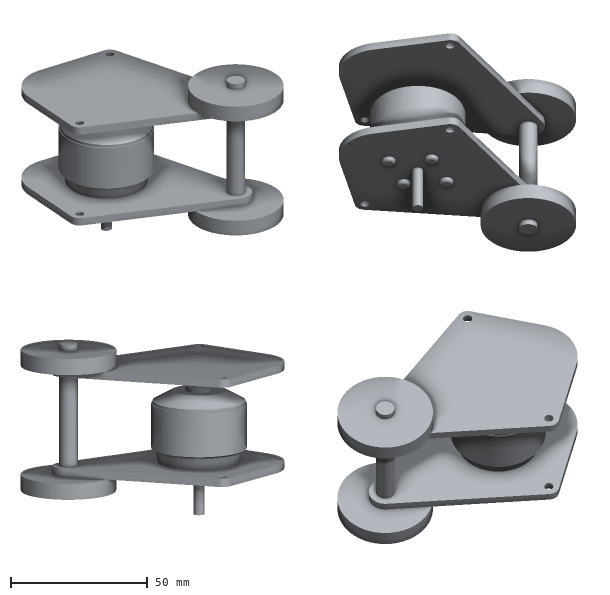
import cadquery as cq
import math


SHAFT_AXIS = (33.8, 34.4)
SHAFT_DIAMETER = 6.8
SHAFT_LOWER_END = 2.0
SHAFT_UPPER_END = 2.2
WHEEL_DIAMETER = 35.0
WHEEL_THICKNESS = 6.0
WHEEL_BORE_DIAMETER = 7.0
WHEEL_GAP = 0.2

OVERALL_DEPTH = 78.95
FRONT_EDGE_Y = SHAFT_AXIS[1] + WHEEL_DIAMETER / 2 - OVERALL_DEPTH
PLATE_THICKNESS = 3.0
PLATE_SPACING = 34.1
CORNER_RADIUS = 3.8
FRONT_RADIUS = 15.95
SHAFT_CORNER_RADIUS = 6.0
CORNER_HOLE_DIAMETER = 3.3
LEFT_HOLE = (-23.5, 17.05)
RIGHT_HOLE = (17.45, FRONT_EDGE_Y + CORNER_RADIUS)
FRONT_CORNER = (-10.7, FRONT_EDGE_Y + FRONT_RADIUS)

MOTOR_DIAMETER = 35.0
MOTOR_FOOT_DIAMETER = 30.2
MOTOR_WAIST_DIAMETER = 31.9
MOTOR_WAIST_Z = 4.4
MOTOR_CHAMFER_DIAMETER = 32.5
MOTOR_CAN_BOTTOM_Z = 5.2
MOTOR_CAN_TOP_Z = 21.9
MOTOR_RIM_DIAMETER = 34.0
MOTOR_RIM_TOP_Z = 22.9
MOTOR_CONE_TOP_DIAMETER = 20.2
MOTOR_CONE_TOP_Z = 26.7
MOTOR_BOSS_DIAMETER = 10.0
MOTOR_BOSS_TOP_Z = 28.4
MOTOR_TIP_DIAMETER = 5.85
MOTOR_TIP_TOP_Z = 28.75
MOTOR_SHAFT_DIAMETER = 4.0
MOTOR_SHAFT_BOTTOM_Z = -19.7

SCREW_HEAD_DIAMETER = 5.0
SCREW_HEAD_HEIGHT = 1.65
SCREW_HEAD_ROUNDING = 1.2
WIDE_SCREW_OFFSET = 8.85
NARROW_SCREW_OFFSET = 6.7

LOWER_PLATE_Z = -PLATE_THICKNESS
UPPER_PLATE_Z = PLATE_SPACING
LOWER_WHEEL_Z = LOWER_PLATE_Z - WHEEL_GAP - WHEEL_THICKNESS
UPPER_WHEEL_Z = UPPER_PLATE_Z + PLATE_THICKNESS + WHEEL_GAP
SHAFT_BOTTOM_Z = LOWER_WHEEL_Z - SHAFT_LOWER_END
SHAFT_TOP_Z = UPPER_WHEEL_Z + WHEEL_THICKNESS + SHAFT_UPPER_END


def point_on_circle(center, radius, angle):
    return (center[0] + radius * math.cos(angle), center[1] + radius * math.sin(angle))


def outer_tangent_angle(first, second):
    """Direction of the outward normal of the line touching two corner circles, met counter-clockwise."""
    (x1, y1), r1 = first
    (x2, y2), r2 = second
    heading = math.atan2(y2 - y1, x2 - x1)
    return heading - math.acos((r1 - r2) / math.hypot(x2 - x1, y2 - y1))


def plate_outline(corners):
    """Closed outline around corner circles listed counter-clockwise: arcs joined by tangent lines."""
    count = len(corners)
    normals = [outer_tangent_angle(corners[i], corners[(i + 1) % count]) for i in range(count)]
    outline = cq.Workplane("XY")
    for i, (center, radius) in enumerate(corners):
        arc_start = normals[i - 1]
        arc_sweep = (normals[i] - arc_start) % (2 * math.pi)
        start_point = point_on_circle(center, radius, arc_start)
        middle_point = point_on_circle(center, radius, arc_start + arc_sweep / 2)
        end_point = point_on_circle(center, radius, arc_start + arc_sweep)
        outline = outline.moveTo(*start_point) if i == 0 else outline.lineTo(*start_point)
        outline = outline.threePointArc(middle_point, end_point)
    return outline.close()


def make_plate(bottom_z):
    corners = [
        (FRONT_CORNER, FRONT_RADIUS),
        (RIGHT_HOLE, CORNER_RADIUS),
        (SHAFT_AXIS, SHAFT_CORNER_RADIUS),
        (LEFT_HOLE, CORNER_RADIUS),
    ]
    plate = plate_outline(corners).extrude(PLATE_THICKNESS)
    corner_holes = (
        cq.Workplane("XY")
        .pushPoints([LEFT_HOLE, RIGHT_HOLE])
        .circle(CORNER_HOLE_DIAMETER / 2)
        .extrude(PLATE_THICKNESS)
    )
    shaft_bore = cq.Workplane("XY").center(*SHAFT_AXIS).circle(SHAFT_DIAMETER / 2).extrude(PLATE_THICKNESS)
    return plate.cut(corner_holes).cut(shaft_bore).translate((0, 0, bottom_z))


def make_lower_plate():
    motor_shaft_hole = (
        cq.Workplane("XY")
        .workplane(offset=LOWER_PLATE_Z)
        .circle(MOTOR_SHAFT_DIAMETER / 2)
        .extrude(PLATE_THICKNESS)
    )
    return make_plate(LOWER_PLATE_Z).cut(motor_shaft_hole)


def make_wheel(bottom_z):
    return (
        cq.Workplane("XY")
        .workplane(offset=bottom_z)
        .center(*SHAFT_AXIS)
        .circle(WHEEL_DIAMETER / 2)
        .circle(WHEEL_BORE_DIAMETER / 2)
        .extrude(WHEEL_THICKNESS)
    )


def make_shaft():
    return (
        cq.Workplane("XY")
        .workplane(offset=SHAFT_BOTTOM_Z)
        .center(*SHAFT_AXIS)
        .circle(SHAFT_DIAMETER / 2)
        .extrude(SHAFT_TOP_Z - SHAFT_BOTTOM_Z)
    )


def make_motor():
    """Motor can, foot, end boss and output shaft, turned about the Z axis."""
    half_profile = [
        (0, MOTOR_SHAFT_BOTTOM_Z),
        (MOTOR_SHAFT_DIAMETER / 2, MOTOR_SHAFT_BOTTOM_Z),
        (MOTOR_SHAFT_DIAMETER / 2, 0),
        (MOTOR_FOOT_DIAMETER / 2, 0),
        (MOTOR_WAIST_DIAMETER / 2, MOTOR_WAIST_Z),
        (MOTOR_CHAMFER_DIAMETER / 2, MOTOR_WAIST_Z),
        (MOTOR_DIAMETER / 2, MOTOR_CAN_BOTTOM_Z),
        (MOTOR_DIAMETER / 2, MOTOR_CAN_TOP_Z),
        (MOTOR_RIM_DIAMETER / 2, MOTOR_CAN_TOP_Z),
        (MOTOR_RIM_DIAMETER / 2, MOTOR_RIM_TOP_Z),
        (MOTOR_CONE_TOP_DIAMETER / 2, MOTOR_CONE_TOP_Z),
        (MOTOR_BOSS_DIAMETER / 2, MOTOR_CONE_TOP_Z),
        (MOTOR_BOSS_DIAMETER / 2, MOTOR_BOSS_TOP_Z),
        (MOTOR_TIP_DIAMETER / 2, MOTOR_BOSS_TOP_Z),
        (MOTOR_TIP_DIAMETER / 2, MOTOR_TIP_TOP_Z),
        (0, MOTOR_TIP_TOP_Z),
    ]
    return cq.Workplane("XZ").polyline(half_profile).close().revolve(360, (0, 0, 0), (0, 1, 0))


def make_screw_head(x, y):
    """Round-edged head resting against the underside of the lower plate."""
    return (
        cq.Workplane("XY")
        .circle(SCREW_HEAD_DIAMETER / 2)
        .extrude(-SCREW_HEAD_HEIGHT)
        .faces("<Z")
        .edges()
        .fillet(SCREW_HEAD_ROUNDING)
        .translate((x, y, LOWER_PLATE_Z))
    )


lower_plate = make_lower_plate()
upper_plate = make_plate(UPPER_PLATE_Z)
wheels = [make_wheel(bottom_z) for bottom_z in (LOWER_WHEEL_Z, UPPER_WHEEL_Z)]
shaft = make_shaft()
motor = make_motor()

screw_positions = [
    (-WIDE_SCREW_OFFSET, -WIDE_SCREW_OFFSET),
    (WIDE_SCREW_OFFSET, WIDE_SCREW_OFFSET),
    (NARROW_SCREW_OFFSET, -NARROW_SCREW_OFFSET),
    (-NARROW_SCREW_OFFSET, NARROW_SCREW_OFFSET),
]
screw_heads = [make_screw_head(x, y) for x, y in screw_positions]

result = cq.Compound.makeCompound(
    [
        lower_plate.val(),
        upper_plate.val(),
        *[wheel.val() for wheel in wheels],
        shaft.val(),
        motor.val(),
        *[head.val() for head in screw_heads],
    ]
)